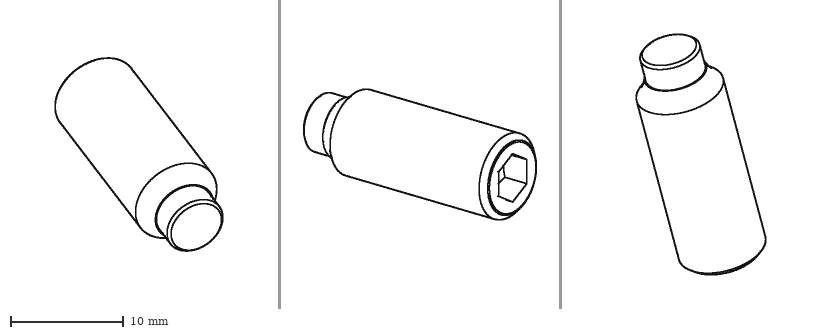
import cadquery as cq
import math

length = 22.0
body_radius = 4.0

head_chamfer = 0.55
edge_break_width = 0.15
edge_break_depth = 0.07

dog_length = 2.5
dog_radius = 2.75
dog_chamfer = 0.26

shoulder_chamfer = 0.6
neck_length = 1.17
neck_end_radius = 2.85
neck_sag = 0.05

socket_across_flats = 4.0
socket_depth = 2.5
cone_half_angle = 60.0

x_start = -length / 2


def make_body():
    """Revolve the half outline of the screw about its axis."""
    head_radius = body_radius - head_chamfer
    head_end = edge_break_depth + head_chamfer
    dog_start = length - dog_length
    neck_start = dog_start - neck_length
    body_end = neck_start - shoulder_chamfer
    neck_start_radius = body_radius - shoulder_chamfer
    neck_middle = (
        (neck_start + dog_start) / 2,
        (neck_start_radius + neck_end_radius) / 2 - neck_sag,
    )
    outline = (
        cq.Workplane("XY")
        .moveTo(0, 0)
        .lineTo(0, head_radius - edge_break_width)
        .lineTo(edge_break_depth, head_radius)
        .lineTo(head_end, body_radius)
        .lineTo(body_end, body_radius)
        .lineTo(neck_start, neck_start_radius)
        .threePointArc(neck_middle, (dog_start, neck_end_radius))
        .lineTo(dog_start, dog_radius)
        .lineTo(length - dog_chamfer, dog_radius)
        .lineTo(length, dog_radius - dog_chamfer)
        .lineTo(length, 0)
        .close()
    )
    return outline.revolve(360, (0, 0, 0), (1, 0, 0))


def make_socket():
    """Hexagonal prism with corners on the Z axis, ended by a cone."""
    corner_radius = socket_across_flats / math.sqrt(3)
    cone_height = corner_radius / math.tan(math.radians(cone_half_angle))
    prism = (
        cq.Workplane("YZ")
        .transformed(rotate=(0, 0, 90))
        .polygon(6, 2 * corner_radius)
        .extrude(socket_depth + cone_height)
    )
    pointed_bar = (
        cq.Workplane("XY")
        .moveTo(0, 0)
        .lineTo(0, corner_radius)
        .lineTo(socket_depth, corner_radius)
        .lineTo(socket_depth + cone_height, 0)
        .close()
        .revolve(360, (0, 0, 0), (1, 0, 0))
    )
    return prism.intersect(pointed_bar)


result = make_body().cut(make_socket()).translate((x_start, 0, 0))